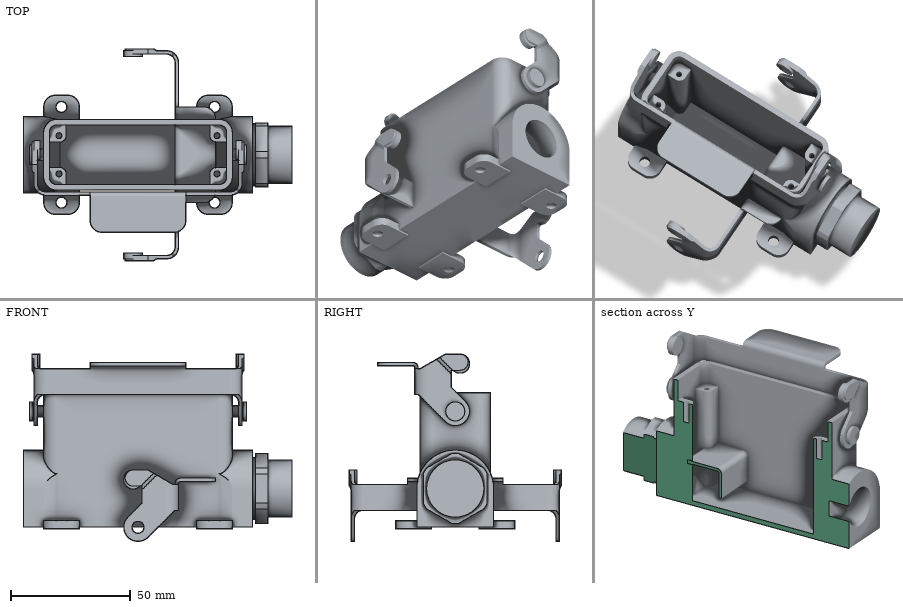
import cadquery as cq
import math

BOX_LENGTH = 79.0
BOX_WIDTH = 29.7
BOX_CORNER = 5.5
BOX_BOTTOM = 0.7
BOX_TOP = 57.0
WALL = 2.4
CAVITY_FLOOR = BOX_BOTTOM + WALL
CAVITY_LENGTH = BOX_LENGTH - 2 * WALL
CAVITY_WIDTH = BOX_WIDTH - 2 * WALL

PORT_SPAN = 96.0
PORT_RADIUS = 16.1
PORT_AXIS_Z = 16.9
PORT_BORE_DIAMETER = 17.4
PORT_BORE_DEPTH = 10.0

POST_TOP = 47.6
POST_INNER_X = 30.0
POST_INNER_Y = 5.3
POST_CORNER = 2.8
POST_HOLE_X = 33.1
POST_HOLE_Y = 8.0
POST_HOLE_DIAMETER = 2.5
POST_HOLE_DEPTH = 9.0

RAMP_DEPTH = 4.4
RAMP_HEIGHT = 4.4

FOOT_LENGTH = 15.0
FOOT_INNER_Y = 9.9
FOOT_OUTER_Y = 25.0
FOOT_THICKNESS = 3.4
FOOT_CORNER = 5.0
FOOT_HOLE_X = 32.1
FOOT_HOLE_Y = 20.0
FOOT_HOLE_DIAMETER = 4.5

PIN_Z = 49.2
PIN_DIAMETER = 4.7
PIN_HEAD_DIAMETER = 8.0
PIN_HEAD_THICKNESS = 1.5
PIN_END_X = 45.5

NECK_DIAMETER = 26.0
NECK_LENGTH = 1.2
NUT_FLATS = 26.8
NUT_CORNER_DIAMETER = 29.5
NUT_LENGTH = 5.2
SLEEVE_DIAMETER = 24.0
PART_LENGTH = 112.5

SHEET = 1.5
LEVER_WIDTH = 88.8
PAD_HEIGHT = 0.8
ARM_OUTER_X = LEVER_WIDTH / 2 - PAD_HEIGHT
WEB_OUTER_Y = 17.0
WEB_TOP = 17.9
WEB_BOTTOM = 7.0
SIDE_BEND = 5.1
ARM_END_RADIUS = 6.0
ARM_BACK_Y = 1.6
ARM_SLOPE = math.radians(30)
PIVOT_HOLE_DIAMETER = 5.0
HOOK_RADIUS = 3.4
HOOK_END_Y = 2.0
HOOK_TOP = 24.0
HOOK_FLAT_Y = 4.2
STUD_DIAMETER = 8.0
STUD_INNER_STEP = 1.0
PAD_SLOPE_START = 9.9
PAD_SLOPE_RUN = 1.5
HANDLE_WIDTH = 40.2
HANDLE_END_Y = 32.5
HANDLE_CORNER = 5.1
HANDLE_BEND = 0.8
OPEN_LEVER_Z = 0.7


def box_between(x, y, z):
    """Box spanning the given (low, high) pairs."""
    size = [high - low for low, high in (x, y, z)]
    return cq.Workplane().box(*size, centered=False).translate((x[0], y[0], z[0]))


def x_cylinder(diameter, x_start, x_end, y=0, z=0):
    """Cylinder along X between two X positions."""
    return cq.Workplane("YZ", origin=(x_start, y, z)).circle(diameter / 2).extrude(x_end - x_start)


def four_corners(x, y):
    return [(sx * x, sy * y) for sx in (-1, 1) for sy in (-1, 1)]


def make_box():
    return (
        cq.Workplane(origin=(0, 0, BOX_BOTTOM))
        .rect(BOX_LENGTH, BOX_WIDTH)
        .extrude(BOX_TOP - BOX_BOTTOM)
        .edges("|Z")
        .fillet(BOX_CORNER)
    )


def make_cavity():
    return (
        cq.Workplane(origin=(0, 0, CAVITY_FLOOR))
        .rect(CAVITY_LENGTH, CAVITY_WIDTH)
        .extrude(BOX_TOP - CAVITY_FLOOR)
        .edges("|Z")
        .fillet(BOX_CORNER - WALL)
    )


def make_ports():
    """Arched blocks through both ends, tapered in plan to run out on the long walls."""
    arch = (
        cq.Workplane("YZ", origin=(-PORT_SPAN / 2, 0, 0))
        .moveTo(-PORT_RADIUS, BOX_BOTTOM)
        .lineTo(-PORT_RADIUS, PORT_AXIS_Z)
        .threePointArc((0, PORT_AXIS_Z + PORT_RADIUS), (PORT_RADIUS, PORT_AXIS_Z))
        .lineTo(PORT_RADIUS, BOX_BOTTOM)
        .close()
        .extrude(PORT_SPAN)
    )
    runout_x = BOX_LENGTH / 2 - BOX_CORNER
    corners = [
        (runout_x, BOX_WIDTH / 2),
        (BOX_LENGTH / 2, PORT_RADIUS),
        (PORT_SPAN / 2, PORT_RADIUS),
    ]
    right = corners + [(x, -y) for x, y in reversed(corners)]
    left = [(-x, -y) for x, y in right]
    plan = cq.Workplane().polyline(right + left).close().extrude(BOX_TOP)
    return arch.intersect(plan)


def make_feet():
    foot_x = (BOX_LENGTH - FOOT_LENGTH) / 2
    foot = box_between(
        (foot_x - FOOT_LENGTH / 2, foot_x + FOOT_LENGTH / 2),
        (FOOT_INNER_Y, FOOT_OUTER_Y),
        (0, FOOT_THICKNESS),
    )
    foot = foot.edges("|Z and >Y").fillet(FOOT_CORNER)
    pair = foot.union(foot.mirror("YZ"))
    return pair.union(pair.mirror("XZ"))


def make_posts():
    post = box_between(
        (POST_INNER_X, BOX_LENGTH / 2), (POST_INNER_Y, BOX_WIDTH / 2), (CAVITY_FLOOR, POST_TOP)
    )
    post = post.edges("|Z and <X and <Y").fillet(POST_CORNER)
    pair = post.union(post.mirror("YZ"))
    return pair.union(pair.mirror("XZ"))


def make_ramps():
    wall_x = CAVITY_LENGTH / 2
    ramp = (
        cq.Workplane("XZ", origin=(0, POST_INNER_Y, 0))
        .polyline([
            (wall_x, CAVITY_FLOOR),
            (wall_x, CAVITY_FLOOR + RAMP_HEIGHT),
            (wall_x - RAMP_DEPTH, CAVITY_FLOOR),
        ])
        .close()
        .extrude(2 * POST_INNER_Y)
    )
    return ramp.union(ramp.mirror("YZ"))


def make_pins():
    shaft_start = BOX_LENGTH / 2 - WALL
    shaft = x_cylinder(PIN_DIAMETER, shaft_start, PIN_END_X, z=PIN_Z)
    head = x_cylinder(PIN_HEAD_DIAMETER, PIN_END_X - PIN_HEAD_THICKNESS, PIN_END_X, z=PIN_Z)
    pin = shaft.union(head)
    return pin.union(pin.mirror("YZ"))


def make_housing():
    cavity = make_cavity()
    inserts = make_posts().union(make_ramps()).intersect(cavity)
    housing = make_box().union(make_ports()).union(make_feet())
    housing = housing.cut(cavity).union(inserts).union(make_pins())
    foot_holes = (
        cq.Workplane()
        .pushPoints(four_corners(FOOT_HOLE_X, FOOT_HOLE_Y))
        .circle(FOOT_HOLE_DIAMETER / 2)
        .extrude(FOOT_THICKNESS)
    )
    post_holes = (
        cq.Workplane(origin=(0, 0, POST_TOP))
        .pushPoints(four_corners(POST_HOLE_X, POST_HOLE_Y))
        .circle(POST_HOLE_DIAMETER / 2)
        .extrude(-POST_HOLE_DEPTH)
    )
    bore_start = -PORT_SPAN / 2
    bore = x_cylinder(PORT_BORE_DIAMETER, bore_start, bore_start + PORT_BORE_DEPTH, z=PORT_AXIS_Z)
    return housing.cut(foot_holes).cut(post_holes).cut(bore)


def make_gland():
    """Neck, hexagon nut with turned-down corners, and sleeve, on the +X port."""
    neck_start = PORT_SPAN / 2
    nut_start = neck_start + NECK_LENGTH
    nut_end = nut_start + NUT_LENGTH
    sleeve_end = PART_LENGTH - PORT_SPAN / 2
    neck = x_cylinder(NECK_DIAMETER, neck_start, nut_start, z=PORT_AXIS_Z)
    hexagon = (
        cq.Workplane("YZ", origin=(nut_start, 0, PORT_AXIS_Z))
        .polygon(6, NUT_FLATS, circumscribed=True)
        .extrude(NUT_LENGTH)
    )
    nut = hexagon.intersect(x_cylinder(NUT_CORNER_DIAMETER, nut_start, nut_end, z=PORT_AXIS_Z))
    sleeve = x_cylinder(SLEEVE_DIAMETER, nut_end, sleeve_end, z=PORT_AXIS_Z)
    return neck.union(nut).union(sleeve)


def make_lever_outline():
    """Side outline of the arms and web, extruded over the full lever width."""
    tangent = ARM_END_RADIUS / math.sqrt(2)
    diagonal = ARM_END_RADIUS * math.sqrt(2)
    slope_end_y = HOOK_FLAT_Y + (HOOK_TOP - WEB_TOP) / math.tan(ARM_SLOPE)
    hook_z = HOOK_TOP - HOOK_RADIUS
    return (
        cq.Workplane("YZ", origin=(-LEVER_WIDTH / 2, 0, 0))
        .moveTo(-tangent, -tangent)
        .threePointArc((tangent, -tangent), (tangent, tangent))
        .lineTo(-ARM_BACK_Y, diagonal + ARM_BACK_Y)
        .lineTo(-ARM_BACK_Y, hook_z - HOOK_RADIUS)
        .lineTo(HOOK_END_Y, hook_z - HOOK_RADIUS)
        .threePointArc((HOOK_END_Y + HOOK_RADIUS, hook_z), (HOOK_END_Y, HOOK_TOP))
        .lineTo(-HOOK_FLAT_Y, HOOK_TOP)
        .lineTo(-slope_end_y, WEB_TOP)
        .lineTo(-WEB_OUTER_Y, WEB_TOP)
        .lineTo(-WEB_OUTER_Y, WEB_BOTTOM)
        .lineTo(-diagonal - WEB_BOTTOM, WEB_BOTTOM)
        .close()
        .extrude(LEVER_WIDTH)
    )


def make_strip_block(inset):
    """Rounded block inside the bent strip's outer face by the given inset."""
    x = ARM_OUTER_X - inset
    block = box_between((-x, x), (inset - WEB_OUTER_Y, ARM_END_RADIUS), (-ARM_END_RADIUS, HOOK_TOP))
    return block.edges("|Z and <Y").fillet(SIDE_BEND - inset)


def make_pads(outline):
    """Thickened hook ends; a 45 degree fold line with a sloped face leads up to each."""
    far = 2 * HOOK_TOP
    across_fold = cq.Plane(origin=(0, far, -far), xDir=(1, 0, 0), normal=(0, -1, 1))
    bar = (
        cq.Workplane(across_fold)
        .polyline([
            (ARM_OUTER_X - SHEET, PAD_SLOPE_START),
            (ARM_OUTER_X, PAD_SLOPE_START),
            (LEVER_WIDTH / 2, PAD_SLOPE_START + PAD_SLOPE_RUN),
            (LEVER_WIDTH / 2, far),
            (ARM_OUTER_X - SHEET, far),
        ])
        .close()
        .extrude(4 * far)
    )
    pad = bar.intersect(outline)
    return pad.union(pad.mirror("YZ"))


def make_studs():
    inner_x = ARM_OUTER_X - SHEET - STUD_INNER_STEP
    stud_z = HOOK_TOP - STUD_DIAMETER / 2
    stud = x_cylinder(STUD_DIAMETER, inner_x, ARM_OUTER_X, HOOK_END_Y, stud_z)
    return stud.union(stud.mirror("YZ"))


def make_handle():
    """Flat thumb tab, bent outwards from the top of the web."""
    web_inner_y = SHEET - WEB_OUTER_Y
    bend_y = -WEB_OUTER_Y - HANDLE_BEND
    outer_bend = HANDLE_BEND + SHEET
    bend_z = WEB_TOP + HANDLE_BEND / 2
    diagonal = math.sqrt(0.5)
    handle = (
        cq.Workplane("YZ", origin=(-HANDLE_WIDTH / 2, 0, 0))
        .moveTo(web_inner_y, WEB_TOP)
        .lineTo(web_inner_y, bend_z)
        .threePointArc(
            (bend_y + outer_bend * diagonal, bend_z + outer_bend * diagonal), (bend_y, bend_z + outer_bend)
        )
        .lineTo(-HANDLE_END_Y, bend_z + outer_bend)
        .lineTo(-HANDLE_END_Y, bend_z + HANDLE_BEND)
        .lineTo(bend_y, bend_z + HANDLE_BEND)
        .threePointArc(
            (bend_y + HANDLE_BEND * diagonal, bend_z + HANDLE_BEND * diagonal), (-WEB_OUTER_Y, bend_z)
        )
        .lineTo(-WEB_OUTER_Y, WEB_TOP)
        .close()
        .extrude(HANDLE_WIDTH)
    )
    return handle.edges("|Z and <Y").fillet(HANDLE_CORNER)


def make_lever():
    outline = make_lever_outline()
    strip = make_strip_block(0).cut(make_strip_block(SHEET)).intersect(outline)
    lever = strip.union(make_pads(outline)).union(make_studs()).union(make_handle())
    return lever.cut(x_cylinder(PIVOT_HOLE_DIAMETER, -LEVER_WIDTH / 2, LEVER_WIDTH / 2))


lever_turns = [(0, PIN_Z), (90, OPEN_LEVER_Z)]
levers = []
for turn, pivot_z in lever_turns:
    lever = make_lever().rotate((0, 0, 0), (0, 0, 1), turn).translate((0, 0, pivot_z))
    levers.append(lever)

housing = make_housing().cut(levers[1])
gland = make_gland()

result = cq.Compound.makeCompound([body.solids().val() for body in [housing, gland, *levers]])